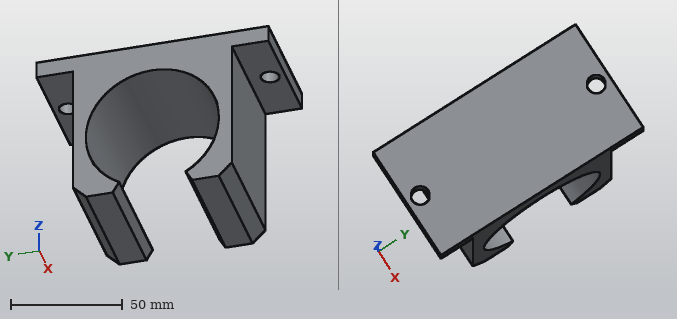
import cadquery as cq
import math

plate_length = 108.0
plate_width = 56.0
plate_thickness = 8.0
hole_diameter = 8.4
hole_edge_distance = 7.0

total_height = 77.0
body_length = 74.0
corner_chamfer = 6.0

bore_diameter = 62.0
bore_depth = 45.0
mouth_half_angle = 30.0


def make_plate():
    """Flat plate with its top face at Z = 0 and a hole near each end."""
    hole_spacing = plate_length - 2 * hole_edge_distance
    return (
        cq.Workplane("XY")
        .box(plate_width, plate_length, plate_thickness, centered=(True, True, False))
        .translate((0, 0, -plate_thickness))
        .faces(">Z")
        .workplane()
        .rarray(1.1, hole_spacing, 1, 2)
        .hole(hole_diameter)
    )


def make_body():
    """Block under the plate with its two lower long edges chamfered."""
    body_height = total_height - plate_thickness
    return (
        cq.Workplane("XY")
        .box(plate_width, body_length, body_height, centered=(True, True, False))
        .translate((0, 0, -total_height))
        .faces("<Z")
        .edges("|X")
        .chamfer(corner_chamfer)
    )


def make_bore():
    """Round bore along X."""
    return (
        cq.Workplane("YZ")
        .center(0, -bore_depth)
        .circle(bore_diameter / 2)
        .extrude(plate_width / 2, both=True)
    )


def make_mouth():
    """Wedge from the bore axis to the bottom face, with radial sides."""
    mouth_height = total_height - bore_depth
    mouth_half_width = mouth_height * math.tan(math.radians(mouth_half_angle))
    return (
        cq.Workplane("YZ")
        .moveTo(0, -bore_depth)
        .lineTo(mouth_half_width, -total_height)
        .lineTo(-mouth_half_width, -total_height)
        .close()
        .extrude(plate_width / 2, both=True)
    )


result = make_plate().union(make_body()).cut(make_bore()).cut(make_mouth())